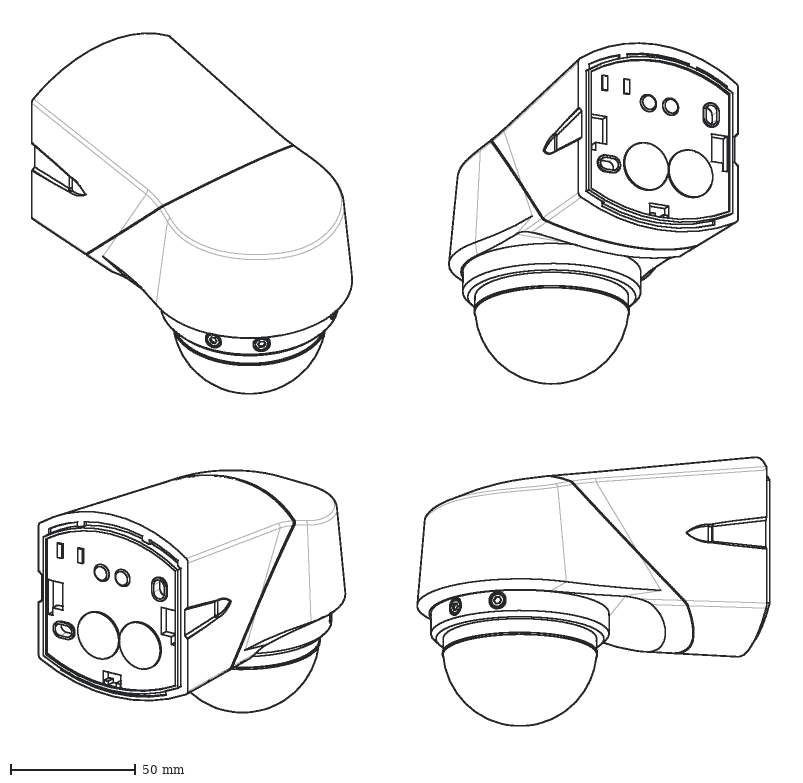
import cadquery as cq
import math


clearance = 1.4

overall_length = 137.4
hood_width = 82.8
hood_radius = hood_width / 2
hood_x = overall_length - hood_radius
arm_end_x = 2.0
arm_end_half_width = 36.1
arm_taper = 0.03
arm_top_z = 68.3
arm_bottom_z = -10.3
brim_z = 3.2
underside_radius = 36.5
plan_top_z = 70
plan_top_radius = 34.7
plan_top_hood_x = 96.8
blend_underside_x = 61.8
blend_brim_x = 45.3
blend_top_x = 85.6

bend_x = 90.2
bend_z = 55.1
nose_x = 134.5
nose_z = 39.3
shoulder_half_width = 36.1
shoulder_start_z = 56.9
shoulder_end_z = 38.5
shoulder_turn_x = 96.1
shoulder_turn_in = 0.75
crown_sections = 14
belly_radius = 76.4
shoulder_fillet = 2.0
belly_fillet = 2.0

throat_start_x = 37.8
throat_mid = (48.1, -2.9)
throat_end_x = 60.0

joint_bottom_x = 26.1
joint_chamfer = 0.4

plate_half_width = 32.5
plate_top_z = 62.0
plate_top_corner_z = 52.2
plate_bottom_corner_z = 1.1
plate_bottom_z = -6.9
plate_back_x = 4.8
plate_lip = 1.2
plate_floor_x = 1.2
raised_x = 0.4

knockout_radius = 9.9
knockout_places = [(6.2, 15.2), (-13.9, 15.2)]
boss_radius = 3.6
boss_chamfer = 0.7
boss_places = [(5.0, 42.5), (-5.1, 42.5)]
bar_size = (2.3, 6.0)
bar_places = [(24.9, 47.8), (15.0, 47.8)]
slot_length = 8.1
slot_width = 5.0
slot_collar = 1.0
slot_places = [(-23.2, 41.6, 90), (23.0, 13.7, 0)]

latch_outer_y = 30.8
latch_inner_y = 23.8
latch_leg_y = 28.7
latch_top_z = 33.8
latch_step_z = 22.1
latch_foot_z = 18.8
notch_width = 8.5
notch_top_z = 0.1
notch_bottom_z = -5.5
post_width = 1.9
post_height = 1.6
post_spacing = 5.8

pocket_end_x = 28.2
rim_slot_depth = 1.4
rim_slot_height = 1.9
top_slots = [(0, 28.0), (24.3, 13.7), (-24.3, 13.7)]
bottom_slot_width = 50.8
bottom_slot_top_z = -2.5
scoop_floor_y = 34.6
scoop_rim_y = 35.7
scoop_wall_inset = 1.1
scoop_top_z = 36.1
scoop_bottom_z = 22.5
scoop_straight_x = 24.7
scoop_neck_top_z = 32.0
scoop_neck_bottom_z = 23.8
scoop_round_x = 32.0
scoop_round_top_z = 30.1
scoop_round_bottom_z = 25.4
scoop_tip_x = 34.9
scoop_tip_z = 27.7
window_x = 24.9
window_z = 28.0
window_width = 1.9
window_height = 7.0

ring_radius = 35.8
ring_height = 10.6
ring_chamfer = 2.0
screw_angles = (-63.5, -31.5, 31.5, 63.5)
screw_z = -3.8
screw_hole_radius = 3.5
screw_head_radius = 2.6
screw_recess = 0.8
socket_width = 3.0
collar_radius = 30.9
bead_radius = 31.2
bead_top_z = -16.3
bead_bottom_z = -17.2
dome_bottom_z = -45.9
dome_radius = 31.0


def plan_wire(z, radius, center_x, blend_x):
    """Outline at height z: arm sides that flow through a concave blend into the hood's circle."""
    half_width = arm_end_half_width - arm_taper * (blend_x - arm_end_x)
    run = center_x - blend_x
    blend_radius = (run**2 / (radius - half_width) - radius - half_width) / 2
    blend_angle = math.asin(run / (radius + blend_radius))
    blend_mid_x = blend_x + blend_radius * math.sin(blend_angle / 2)
    blend_mid_y = half_width + blend_radius * (1 - math.cos(blend_angle / 2))
    tangent_x = center_x - radius * math.sin(blend_angle)
    tangent_y = radius * math.cos(blend_angle)
    return (
        cq.Workplane("XY", origin=(0, 0, z))
        .moveTo(arm_end_x, -arm_end_half_width)
        .lineTo(blend_x, -half_width)
        .threePointArc((blend_mid_x, -blend_mid_y), (tangent_x, -tangent_y))
        .threePointArc((center_x + radius, 0), (tangent_x, tangent_y))
        .threePointArc((blend_mid_x, blend_mid_y), (blend_x, half_width))
        .lineTo(arm_end_x, arm_end_half_width)
        .close()
        .val()
    )


def drafted_walls():
    """Straight below the underside, flaring out to the brim, then narrowing toward the top."""
    wires = [
        plan_wire(arm_bottom_z, underside_radius, hood_x, blend_underside_x),
        plan_wire(0, underside_radius, hood_x, blend_underside_x),
        plan_wire(brim_z, hood_radius, hood_x, blend_brim_x),
        plan_wire(plan_top_z, plan_top_radius, plan_top_hood_x, blend_top_x),
    ]
    return cq.Workplane(cq.Solid.makeLoft(wires, True))


def ridge_height(x):
    slope = math.atan2(arm_top_z - bend_z, bend_x - arm_end_x)
    if x <= bend_x:
        return bend_z + (bend_x - x) * math.tan(slope)
    chord = math.hypot(nose_x - bend_x, bend_z - nose_z)
    half_turn = math.atan2(bend_z - nose_z, nose_x - bend_x) - slope
    radius = chord / (2 * math.sin(half_turn))
    pivot_x = bend_x - radius * math.sin(slope)
    pivot_z = bend_z - radius * math.cos(slope)
    return pivot_z + math.sqrt(radius**2 - (x - pivot_x) ** 2)


def crown_wire(x):
    """Region above the arched top at x: an arc through the ridge and the shoulders on both sides."""
    shoulder_z = shoulder_start_z + (shoulder_end_z - shoulder_start_z) * x / nose_x
    ridge_z = ridge_height(x)
    drop = ridge_z - shoulder_z
    reach = max(0, x - shoulder_turn_x) / (nose_x - shoulder_turn_x)
    shoulder_y = shoulder_half_width * math.sqrt(1 - shoulder_turn_in * reach**2)
    radius = (shoulder_y**2 + drop**2) / (2 * drop)
    half_width = hood_radius + clearance
    edge_z = ridge_z - radius + math.sqrt(radius**2 - half_width**2)
    return (
        cq.Workplane("YZ", origin=(x, 0, 0))
        .moveTo(-half_width, edge_z)
        .threePointArc((0, ridge_z), (half_width, edge_z))
        .lineTo(half_width, plan_top_z + clearance)
        .lineTo(-half_width, plan_top_z + clearance)
        .close()
        .val()
    )


def crown_cut():
    step = nose_x / crown_sections
    wires = [crown_wire(index * step) for index in range(crown_sections + 1)]
    return cq.Workplane(cq.Solid.makeLoft(wires))


def belly():
    """Everything above the arched bottom of the arm."""
    half_width = hood_radius + clearance
    rise = belly_radius - math.sqrt(belly_radius**2 - half_width**2)
    return (
        cq.Workplane("YZ")
        .moveTo(-half_width, arm_bottom_z + rise)
        .threePointArc((0, arm_bottom_z), (half_width, arm_bottom_z + rise))
        .lineTo(half_width, plan_top_z + clearance)
        .lineTo(-half_width, plan_top_z + clearance)
        .close()
        .extrude(overall_length + clearance)
    )


def throat_cut():
    """Space under the hood, in front of the arm's bottom."""
    return (
        cq.Workplane("XZ")
        .moveTo(throat_start_x, arm_bottom_z)
        .threePointArc(throat_mid, (throat_end_x, 0))
        .lineTo(overall_length + clearance, 0)
        .lineTo(overall_length + clearance, 2 * arm_bottom_z)
        .lineTo(throat_start_x, 2 * arm_bottom_z)
        .close()
        .extrude(hood_width, both=True)
    )


def is_shoulder(edge):
    """Edges between the arched top and the walls, apart from the one in the arm's end face."""
    box = edge.BoundingBox()
    return box.zmin > shoulder_end_z - clearance and box.xlen > clearance


def is_arm_bottom_edge(edge):
    """The two long edges between the arm's sides and its arched bottom."""
    box = edge.BoundingBox()
    return box.zmax < brim_z / 2 and box.xmin < arm_end_x + clearance and box.xlen > clearance


def housing_shape():
    shape = drafted_walls().cut(crown_cut()).intersect(belly()).cut(throat_cut()).clean()
    shoulders = [edge for edge in shape.edges().vals() if is_shoulder(edge)]
    shape = shape.newObject(shoulders).fillet(shoulder_fillet)
    bottom_edges = [edge for edge in shape.edges().vals() if is_arm_bottom_edge(edge)]
    return shape.newObject(bottom_edges).fillet(belly_fillet)


def arm_side_of_joint():
    run = (bend_x - joint_bottom_x) / (bend_z - arm_bottom_z)
    reach = plan_top_z - bend_z + clearance
    return (
        cq.Workplane("XZ")
        .moveTo(joint_bottom_x - reach * run, arm_bottom_z - reach)
        .lineTo(bend_x + reach * run, bend_z + reach)
        .lineTo(-clearance, bend_z + reach)
        .lineTo(-clearance, arm_bottom_z - reach)
        .close()
        .extrude(hood_width, both=True)
    )


def plate_outline(growth=0.0):
    outline = (
        cq.Workplane("YZ")
        .moveTo(-plate_half_width, plate_bottom_corner_z)
        .threePointArc((0, plate_bottom_z), (plate_half_width, plate_bottom_corner_z))
        .lineTo(plate_half_width, plate_top_corner_z)
        .threePointArc((0, plate_top_z), (-plate_half_width, plate_top_corner_z))
        .close()
    )
    return outline.offset2D(growth, "intersection") if growth else outline


def scoop_wire(y, inset):
    """Teardrop outline of a side scoop, open toward the wall."""
    return (
        cq.Workplane("XZ", origin=(0, y, 0))
        .moveTo(arm_end_x - clearance, scoop_top_z - inset)
        .lineTo(scoop_straight_x, scoop_neck_top_z - inset)
        .threePointArc((scoop_round_x, scoop_round_top_z - inset / 2), (scoop_tip_x, scoop_tip_z))
        .threePointArc(
            (scoop_round_x, scoop_round_bottom_z + inset / 2),
            (scoop_straight_x, scoop_neck_bottom_z + inset),
        )
        .lineTo(arm_end_x - clearance, scoop_bottom_z + inset)
        .close()
        .val()
    )


def side_scoop(side):
    """Shallow scoop with sloping walls in one side of the arm."""
    wires = [
        scoop_wire(side * scoop_floor_y, scoop_wall_inset),
        scoop_wire(side * scoop_rim_y, 0),
        scoop_wire(side * hood_radius, 0),
    ]
    return cq.Workplane(cq.Solid.makeLoft(wires, True))


def window_cut():
    """Narrow opening through both side walls, across the scoops."""
    return (
        cq.Workplane("XZ")
        .center(window_x, window_z)
        .rect(window_width, window_height)
        .extrude(hood_radius, both=True)
    )


def rim_slots():
    """Shallow slots in the arm's end face that follow the top and bottom of the back plate."""
    depth = arm_end_x + rim_slot_depth
    band = plate_outline(rim_slot_height).extrude(depth)
    bottom_height = bottom_slot_top_z - 2 * arm_bottom_z
    bottom_z = bottom_slot_top_z - bottom_height / 2
    spans = cq.Workplane("YZ").center(0, bottom_z).rect(bottom_slot_width, bottom_height).extrude(depth)
    for center_y, width in top_slots:
        span = cq.Workplane("YZ").center(center_y, plate_top_z).rect(width, plate_top_z)
        spans = spans.union(span.extrude(depth))
    return band.intersect(spans)


def arm_body():
    pocket = plate_outline().extrude(pocket_end_x)
    body = housing.intersect(arm_side_of_joint()).cut(pocket).cut(rim_slots())
    for side in (-1, 1):
        body = body.cut(side_scoop(side))
    return body.cut(window_cut())


def hood_body():
    body = housing.cut(arm_side_of_joint())
    joint_middle = ((joint_bottom_x + bend_x) / 2, 0, (arm_bottom_z + bend_z) / 2)
    joint_face = body.faces(cq.selectors.NearestToPointSelector(joint_middle))
    return body.newObject(joint_face.val().Edges()).chamfer(joint_chamfer)


def raised(sketch):
    """Bosses that rise from inside the plate's base to above its floor."""
    return sketch.extrude(plate_back_x - raised_x).translate((raised_x, 0, 0))


def latch_cut(side):
    """Stepped opening at one side of the plate."""
    return (
        cq.Workplane("YZ")
        .moveTo(side * latch_outer_y, latch_top_z)
        .lineTo(side * latch_inner_y, latch_top_z)
        .lineTo(side * latch_inner_y, latch_step_z)
        .lineTo(side * latch_leg_y, latch_step_z)
        .lineTo(side * latch_leg_y, latch_foot_z)
        .lineTo(side * latch_outer_y, latch_foot_z)
        .close()
        .extrude(plate_back_x)
    )


def notch_cut():
    """Opening at the bottom of the plate, with a small post in each lower corner."""
    height = notch_top_z - notch_bottom_z
    opening = cq.Workplane("YZ").center(0, notch_bottom_z + height / 2).rect(notch_width, height)
    posts = (
        cq.Workplane("YZ")
        .center(0, notch_bottom_z + post_height / 2)
        .pushPoints([(-post_spacing / 2, 0), (post_spacing / 2, 0)])
        .rect(post_width, post_height)
    )
    return opening.extrude(plate_back_x).cut(posts.extrude(plate_back_x))


def slot_plane(y, z, angle):
    return cq.Workplane("YZ").center(y, z).transformed(rotate=(0, 0, angle))


def plate_body():
    body = plate_outline().extrude(plate_back_x)
    body = body.cut(plate_outline(-plate_lip).extrude(plate_floor_x))
    body = body.union(raised(cq.Workplane("YZ").pushPoints(knockout_places).circle(knockout_radius)))
    body = body.union(raised(cq.Workplane("YZ").pushPoints(bar_places).rect(*bar_size)))
    bosses = raised(cq.Workplane("YZ").pushPoints(boss_places).circle(boss_radius))
    body = body.union(bosses.faces("<X").chamfer(boss_chamfer))
    for y, z, angle in slot_places:
        collar_length = slot_length + 2 * slot_collar
        collar_width = slot_width + 2 * slot_collar
        body = body.union(raised(slot_plane(y, z, angle).slot2D(collar_length, collar_width)))
        body = body.cut(slot_plane(y, z, angle).slot2D(slot_length, slot_width).extrude(plate_back_x))
    for side in (-1, 1):
        body = body.cut(latch_cut(side))
    return body.cut(notch_cut())


def screw_cut(angle):
    """Ring-shaped recess around a screw head that has a hexagon socket."""
    floor = cq.Workplane("YZ", origin=(ring_radius - screw_recess, 0, 0))
    recess = floor.circle(screw_hole_radius).circle(screw_head_radius).extrude(2 * screw_recess)
    socket = floor.workplane().polygon(6, socket_width).extrude(2 * screw_recess)
    return recess.union(socket).rotate((0, 0, 0), (0, 0, 1), angle).translate((hood_x, 0, screw_z))


def ring_body():
    center = cq.Workplane("XY", origin=(hood_x, 0, 0))
    bore = center.circle(collar_radius).extrude(-ring_height)
    disc = center.workplane().circle(ring_radius).extrude(-ring_height)
    body = disc.faces("<Z").chamfer(ring_chamfer).cut(bore)
    for angle in screw_angles:
        body = body.cut(screw_cut(angle))
    return body


def dome_body():
    """Collar that fits into the ring, with a bead around it and a round dome below the bead."""
    dome_center_z = dome_bottom_z + dome_radius
    rim_radius = math.sqrt(dome_radius**2 - (bead_bottom_z - dome_center_z) ** 2)
    middle = math.radians(45)
    arc_middle = (dome_radius * math.cos(middle), dome_center_z - dome_radius * math.sin(middle))
    profile = (
        cq.Workplane("XZ")
        .lineTo(collar_radius, 0)
        .lineTo(collar_radius, bead_top_z)
        .lineTo(bead_radius, bead_top_z)
        .lineTo(bead_radius, bead_bottom_z)
        .lineTo(rim_radius, bead_bottom_z)
        .threePointArc(arc_middle, (0, dome_bottom_z))
        .close()
    )
    return profile.revolve(360, (0, 0), (0, 1)).translate((hood_x, 0, 0))


housing = housing_shape()
arm = arm_body()
hood = hood_body()
plate = plate_body()
ring = ring_body()
dome = dome_body()

bodies = [arm, hood, plate, ring, dome]
result = cq.Compound.makeCompound([body.solids().val() for body in bodies])